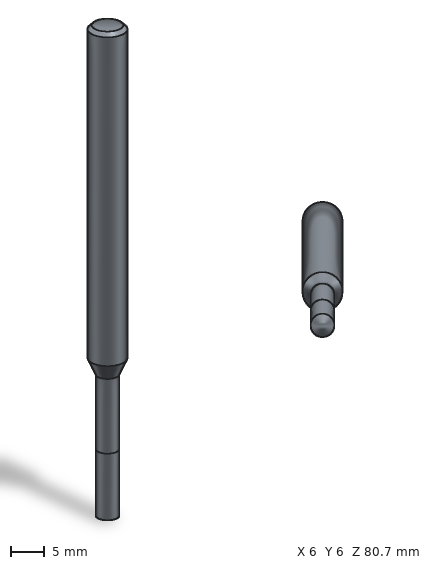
import cadquery as cq
import math

total_length = 80.65
shank_radius = 3.0
tool_radius = 1.8

joint_height = 11.5
neck_top = 23.7
shoulder_height = 26.4

chamfer_width = 0.65
chamfer_height = 0.65

point_angle = 140.0
point_height = tool_radius / math.tan(math.radians(point_angle / 2))


def revolve_profile(points):
    """Turn a closed (radius, height) outline around the Z axis."""
    return cq.Workplane("XZ").polyline(points).close().revolve(360, (0, 0), (0, 1))


def make_holder():
    """Chamfered shank that tapers down to a slim neck."""
    return revolve_profile([
        (0, joint_height),
        (tool_radius, joint_height),
        (tool_radius, neck_top),
        (shank_radius, shoulder_height),
        (shank_radius, total_length - chamfer_height),
        (shank_radius - chamfer_width, total_length),
        (0, total_length),
    ])


def make_tip():
    """Cylindrical tip with a conical point, butted against the neck."""
    return revolve_profile([
        (0, 0),
        (tool_radius, point_height),
        (tool_radius, joint_height),
        (0, joint_height),
    ])


holder = make_holder()
tip = make_tip()

result = cq.Compound.makeCompound([holder.val(), tip.val()])